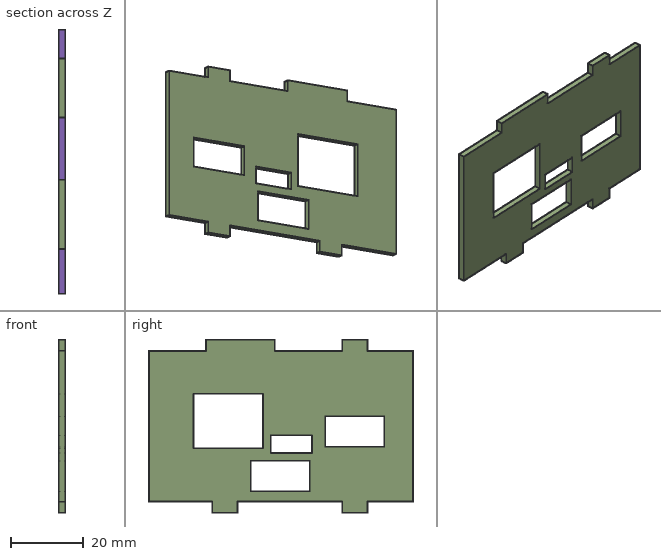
import cadquery as cq

thickness = 1.8
plate_length = 72.5
overall_height = 47.58
tab_height = 3.1
plate_height = overall_height - 2 * tab_height

small_tab_width = 7.0
wide_tab_width = 19.0
shared_tab_y = 20.25
wide_tab_y = -11.15
far_bottom_tab_y = -15.4

top_tabs = [
    (shared_tab_y, small_tab_width),
    (wide_tab_y, wide_tab_width),
]
bottom_tabs = [
    (shared_tab_y, small_tab_width),
    (far_bottom_tab_y, small_tab_width),
]

medium_window_size = (16.1, 8.3)
small_window_size = (11.2, 4.8)
large_window_size = (19.0, 14.9)

windows = [
    (20.25, -1.42, medium_window_size),
    (-0.2, -13.68, medium_window_size),
    (2.85, -4.93, small_window_size),
    (-14.45, 1.42, large_window_size),
]


def block(center_y, center_z, width, height):
    """Rectangular block spanning the full plate thickness."""
    return cq.Workplane("XY").box(thickness, width, height).translate((0, center_y, center_z))


def edge_tab(center_y, width, side):
    """Tab on the top (side = 1) or bottom (side = -1) edge of the plate."""
    center_z = side * (plate_height + tab_height) / 2
    return block(center_y, center_z, width, tab_height)


result = block(0, 0, plate_length, plate_height)

for tab_y, tab_width in top_tabs:
    result = result.union(edge_tab(tab_y, tab_width, 1))

for tab_y, tab_width in bottom_tabs:
    result = result.union(edge_tab(tab_y, tab_width, -1))

for window_y, window_z, (window_width, window_height) in windows:
    result = result.cut(block(window_y, window_z, window_width, window_height))